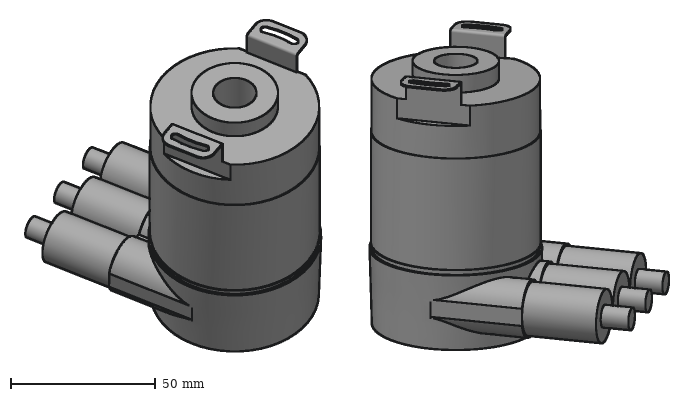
import cadquery as cq
import math

base_top_radius = 30.0
base_bottom_radius = 29.2
base_height = 27.6
neck_radius = 29.2
neck_top = 29.4
body_radius = 29.5
body_top = 70.3
cap_radius = 29.3
cap_top = 89.5
boss_radius = 15.0
boss_top = 96.0
bore_radius = 7.5
bore_floor = body_top

flat_offset = 26.1
flat_floor = 82.2

sheet_thickness = 0.5
bracket_width = 20.0
bracket_reach = 36.0
bracket_top = 98.0
bend_inner_radius = 0.5
bracket_corner_radius = 4.5
slot_arc_radius = 31.6
slot_width = 3.0
slot_end_offset = 5.8

outlet_pitch = 20.0
outlet_height = 15.1
collar_radius = 10.2
collar_end = -33.2
collar_side_limit = 29.7
web_thickness = 9.6
sheath_radius = 9.5
sheath_end = -60.0
wire_radius = 4.0
wire_end = -70.0


def cylinder(radius, bottom, top):
    return cq.Workplane("XY").workplane(offset=bottom).circle(radius).extrude(top - bottom)


def rod_along_x(radius, start, end, y):
    """Cylinder between two X positions at the outlet height."""
    section = cq.Workplane("YZ", origin=(start, y, outlet_height)).circle(radius)
    return section.extrude(end - start)


def housing():
    profile = (
        cq.Workplane("XZ")
        .lineTo(base_bottom_radius, 0)
        .lineTo(base_top_radius, base_height)
        .lineTo(neck_radius, base_height)
        .lineTo(neck_radius, neck_top)
        .lineTo(body_radius, neck_top)
        .lineTo(body_radius, body_top)
        .lineTo(cap_radius, body_top)
        .lineTo(cap_radius, cap_top)
        .lineTo(boss_radius, cap_top)
        .lineTo(boss_radius, boss_top)
        .lineTo(0, boss_top)
        .close()
    )
    solid = profile.revolve(360, (0, 0, 0), (0, 1, 0))
    flat_height = cap_top - flat_floor
    between_flats = cq.Workplane("XY").box(
        2 * body_radius, 2 * flat_offset, flat_height, centered=(True, True, False)
    )
    cap_trim = cylinder(body_radius, flat_floor, cap_top).cut(between_flats.translate((0, 0, flat_floor)))
    return solid.cut(cap_trim)


def bracket():
    """Bracket on the +Y flat: upright leg, bend, and slotted outward flange."""
    inner_face = flat_offset - sheet_thickness
    flange_bottom = bracket_top - sheet_thickness
    bend_outer_radius = bend_inner_radius + sheet_thickness
    diagonal = math.sqrt(0.5)
    bend_y = flat_offset + bend_inner_radius
    bend_z = flange_bottom - bend_inner_radius
    sheet = (
        cq.Workplane("YZ", origin=(-bracket_width / 2, 0, 0))
        .moveTo(inner_face, flat_floor)
        .lineTo(flat_offset, flat_floor)
        .lineTo(flat_offset, bend_z)
        .threePointArc(
            (bend_y - bend_inner_radius * diagonal, bend_z + bend_inner_radius * diagonal),
            (bend_y, flange_bottom),
        )
        .lineTo(bracket_reach, flange_bottom)
        .lineTo(bracket_reach, bracket_top)
        .lineTo(bend_y, bracket_top)
        .threePointArc(
            (bend_y - bend_outer_radius * diagonal, bend_z + bend_outer_radius * diagonal),
            (inner_face, bend_z),
        )
        .close()
        .extrude(bracket_width)
    )
    sheet = sheet.faces(">Y").edges("|Z").fillet(bracket_corner_radius)
    return sheet.cut(curved_slot(flange_bottom))


def curved_slot(bottom):
    """Slot that follows an arc around the housing axis, with round ends."""
    half_width = slot_width / 2
    outer_radius = slot_arc_radius + half_width
    inner_radius = slot_arc_radius - half_width
    end_angle = math.asin(slot_end_offset / slot_arc_radius)

    def polar(radius, angle):
        return radius * math.sin(angle), radius * math.cos(angle)

    tip_angle = end_angle + half_width / slot_arc_radius
    return (
        cq.Workplane("XY")
        .workplane(offset=bottom)
        .moveTo(*polar(outer_radius, -end_angle))
        .threePointArc((0, outer_radius), polar(outer_radius, end_angle))
        .threePointArc(polar(slot_arc_radius, tip_angle), polar(inner_radius, end_angle))
        .threePointArc((0, inner_radius), polar(inner_radius, -end_angle))
        .threePointArc(polar(slot_arc_radius, -tip_angle), polar(outer_radius, -end_angle))
        .close()
        .extrude(sheet_thickness)
    )


def cable_outlets():
    """Three collars joined by a web, each with a cable sheath and a wire."""
    web = cq.Workplane("XY").box(
        -collar_end, 2 * outlet_pitch, web_thickness, centered=(False, True, True)
    )
    collars = web.translate((collar_end, 0, outlet_height))
    outlet_positions = (-outlet_pitch, 0, outlet_pitch)
    for y in outlet_positions:
        collars = collars.union(rod_along_x(collar_radius, collar_end, 0, y))
    side_limits = cq.Workplane("XY").box(
        -collar_end, 2 * collar_side_limit, 2 * collar_radius, centered=(False, True, True)
    )
    outlets = collars.intersect(side_limits.translate((collar_end, 0, outlet_height)))
    for y in outlet_positions:
        outlets = outlets.union(rod_along_x(sheath_radius, sheath_end, collar_end, y))
        outlets = outlets.union(rod_along_x(wire_radius, wire_end, sheath_end, y))
    return outlets


plus_y_bracket = bracket()
result = (
    housing()
    .union(cable_outlets())
    .union(plus_y_bracket)
    .union(plus_y_bracket.mirror("XZ"))
    .cut(cylinder(bore_radius, bore_floor, boss_top))
)